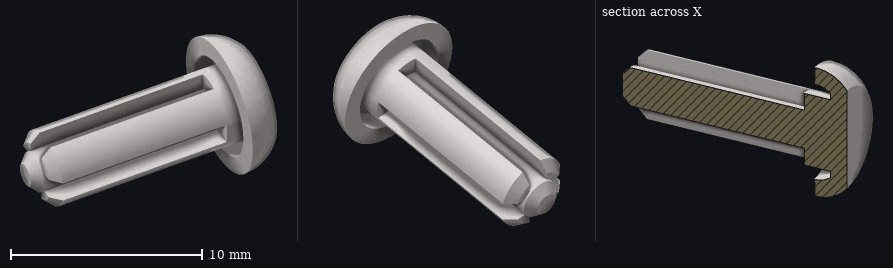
import cadquery as cq
import math

total_length = 13.34
head_y = total_length / 2
tip_y = -total_length / 2

head_radius = 7.62 / 2
head_thickness = 1.91
dome_arc_radius = 2.44
underside_rise = 0.04

groove_radius = 2.8
groove_depth = 0.9

shaft_radius = 4.25 / 2
shaft_end_y = head_y - 12.71
shaft_chamfer = 0.53
slot_width = 1.24
slot_start_y = head_y - 2.55

pin_radius = 2.28 / 2
pin_chamfer = 0.51

rim_y = head_y - head_thickness
groove_edge_y = rim_y - underside_rise
groove_floor_y = rim_y + groove_depth
rod_root_y = (head_y + groove_floor_y) / 2
arc_center_radius = head_radius - dome_arc_radius


def arc_point(arc_radius, height):
    """Point on an arc centred level with the rim, at a height above it."""
    return arc_center_radius + math.sqrt(arc_radius**2 - height**2), rim_y + height


def make_head():
    """Dome with a curved-wall groove around the shaft."""
    groove_arc_radius = groove_radius - arc_center_radius
    return (
        cq.Workplane("XY")
        .moveTo(0, head_y)
        .lineTo(*arc_point(dome_arc_radius, head_thickness))
        .threePointArc(arc_point(dome_arc_radius, head_thickness / 2), (head_radius, rim_y))
        .lineTo(groove_radius, groove_edge_y)
        .lineTo(groove_radius, rim_y)
        .threePointArc(
            arc_point(groove_arc_radius, groove_depth / 2),
            arc_point(groove_arc_radius, groove_depth),
        )
        .lineTo(0, groove_floor_y)
        .close()
        .revolve(360, (0, 0, 0), (0, 1, 0))
    )


def make_rod(radius, end_y, chamfer):
    """Rod from inside the head to end_y, chamfered at its free end."""
    return (
        cq.Workplane("XZ", origin=(0, rod_root_y, 0))
        .circle(radius)
        .extrude(rod_root_y - end_y)
        .faces("<Y")
        .chamfer(chamfer)
    )


def make_cross_slots():
    """Two crossing slots that split the shaft into four legs."""
    slot_length = slot_start_y - shaft_end_y
    return (
        cq.Workplane("XZ", origin=(0, slot_start_y, 0))
        .rect(2 * shaft_radius, slot_width)
        .extrude(slot_length)
        .union(
            cq.Workplane("XZ", origin=(0, slot_start_y, 0))
            .rect(slot_width, 2 * shaft_radius)
            .extrude(slot_length)
        )
    )


shaft = make_rod(shaft_radius, shaft_end_y, shaft_chamfer).cut(make_cross_slots())
pin = make_rod(pin_radius, tip_y, pin_chamfer)
result = make_head().union(shaft).union(pin)